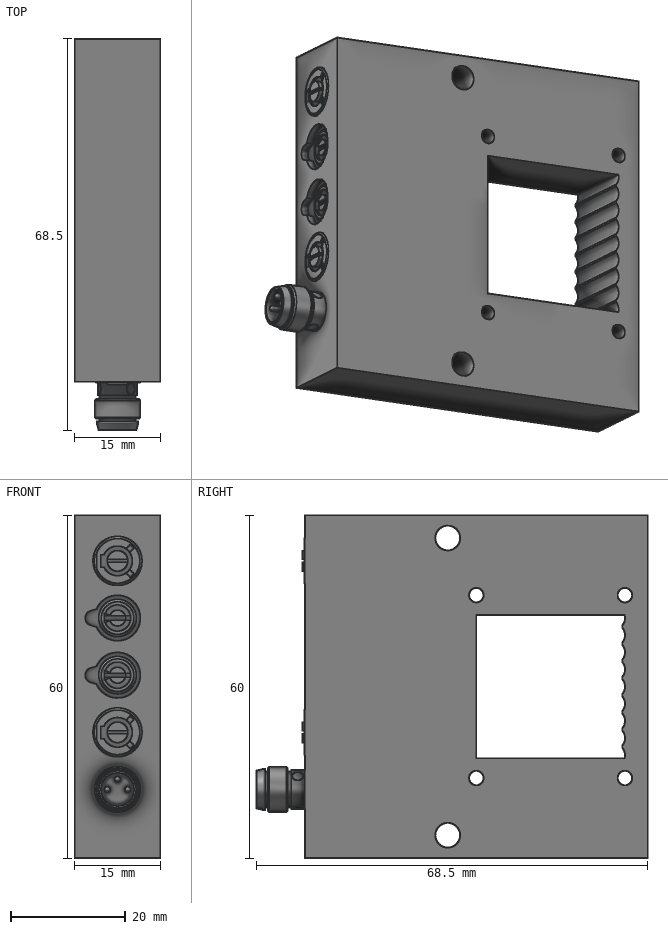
import cadquery as cq
import math

WIDTH = 15.0
LENGTH = 60.0
HEIGHT = 60.0

WINDOW_FRONT = 30.0
WINDOW_REAR = 56.0
WINDOW_HEIGHT = 25.0
SCALLOP_PITCH = 3.0
SCALLOP_DEPTH = 0.5
SCALLOP_DIAMETER = 4.0

MOUNT_HOLE_DIAMETER = 4.3
MOUNT_HOLE_Y = 25.0
MOUNT_HOLE_Z = 26.0
SMALL_HOLE_DIAMETER = 2.5
SMALL_HOLE_Z = 16.0

FITTING_PITCH = 10.0
TOP_PLUG_Z = 22.0
UPPER_TRIMMER_Z = TOP_PLUG_Z - FITTING_PITCH
LOWER_TRIMMER_Z = UPPER_TRIMMER_Z - FITTING_PITCH
LOW_PLUG_Z = LOWER_TRIMMER_Z - FITTING_PITCH
CONNECTOR_Z = LOW_PLUG_Z - FITTING_PITCH

PLUG_DIAMETER = 8.6
PLUG_FACE_DIAMETER = 7.8
PLUG_HEIGHT = 0.15
PLUG_SEAT_DEPTH = 0.3
PLUG_ROOT_DEPTH = 1.0
PLUG_GROOVE_DIAMETER = 5.2
PLUG_GROOVE_DEPTH = 0.4
PLUG_KNOB_DIAMETER = 3.6
PLUG_KNOB_HEIGHT = 0.5
PLUG_SLOT_WIDTH = 0.5
PLUG_SLOT_DEPTH = 0.5
PLUG_NOTCH_DEPTH = 0.2
RIM_NOTCH_WIDTH = 2.2
RIM_NOTCH_START = 3.6
WIDE_NOTCH_WIDTH = 2.2
WIDE_NOTCH_END = 2.9
NARROW_NOTCH_WIDTH = 0.9
NARROW_NOTCH_END = 3.6
NARROW_NOTCH_ANGLES = (45.0, -45.0)

POCKET_DIAMETER = 8.0
POCKET_DEPTH = 1.3
TAB_REACH = 5.65
TAB_TIP_X = 4.6
TAB_TIP_HALF_WIDTH = 1.3
TAB_ROOT_X = 3.6
TAB_ROOT_HALF_WIDTH = 1.6
TRIMMER_DIAMETER = 6.6
TRIMMER_FACE_DIAMETER = 5.7
TRIMMER_HEIGHT = 0.3
DIAL_DIAMETER = 4.6
DIAL_DEPTH = 0.4
DIAL_KNOB_DIAMETER = 2.8
DIAL_SLOT_WIDTH = 0.72
DIAL_SLOT_DEPTH = 0.8
DIAL_SLOT_END_DEPTH = 0.6
POINTER_DEPTH = 0.6
POINTER_OUTER_HALF_WIDTH = 0.85
POINTER_INNER_HALF_WIDTH = 0.5

CONNECTOR_LENGTH = 8.5
COLLAR_DIAMETER = 6.9
COLLAR_END = 2.4
GROOVE_DIAMETER = 6.4
RING_DIAMETER = 8.0
RING_START = 3.0
RING_END = 6.5
RING_CHAMFER = 0.3
LIP_START = 6.95
LIP_DIAMETER = 7.3
LIP_LAND = 0.25
TIP_DIAMETER = 6.7
TIP_CHAMFER = 0.1
BORE_DIAMETER = 5.8
BORE_DEPTH = 4.0
PIN_DIAMETER = 1.0
PIN_CIRCLE_RADIUS = 1.8
PIN_LENGTH = 3.85
PIN_ANGLES = (0.0, 90.0, 180.0)
DIMPLE_DIAMETER = 2.0
DIMPLE_Y = 1.25
DIMPLE_FLOOR_RADIUS = 3.25
DIMPLE_COUNT = 3
DIMPLE_START_ANGLE = 45.0


def front_plane(z, out):
    """Sketch plane facing -Y at height z, `out` in front of the housing; local x, y are X, Z."""
    return cq.Workplane(cq.Plane(origin=(0, -out, z), xDir=(1, 0, 0), normal=(0, -1, 0)))


def disc(z, diameter, start, end):
    """Cylinder along Y reaching from `start` to `end` in front of the housing."""
    return front_plane(z, start).circle(diameter / 2).extrude(end - start)


def cone(z, base_diameter, top_diameter, start, end):
    """Cone frustum along Y narrowing from `start` to `end` in front of the housing."""
    frustum = cq.Solid.makeCone(
        base_diameter / 2, top_diameter / 2, end - start, cq.Vector(0, -start, z), cq.Vector(0, -1, 0)
    )
    return cq.Workplane(frustum)


def side_hole(diameter, y, z):
    """Drill through the full width along X."""
    return cq.Workplane("YZ", origin=(-WIDTH / 2, 0, 0)).center(y, z).circle(diameter / 2).extrude(WIDTH)


def window():
    """Rectangular opening whose rear wall is a row of round scallops parted by narrow flat lands."""
    radius = SCALLOP_DIAMETER / 2
    half_chord = math.sqrt(radius**2 - (radius - SCALLOP_DEPTH) ** 2)
    land_y = WINDOW_REAR - SCALLOP_DEPTH
    reach = math.ceil(WINDOW_HEIGHT / 2 / SCALLOP_PITCH)
    end_z = (reach + 0.5) * SCALLOP_PITCH
    outline = cq.Workplane("YZ", origin=(-WIDTH / 2, 0, 0)).moveTo(WINDOW_FRONT, -end_z).lineTo(land_y, -end_z)
    for index in range(-reach, reach + 1):
        middle_z = index * SCALLOP_PITCH
        outline = outline.lineTo(land_y, middle_z - half_chord)
        outline = outline.threePointArc((WINDOW_REAR, middle_z), (land_y, middle_z + half_chord))
    opening = outline.lineTo(land_y, end_z).lineTo(WINDOW_FRONT, end_z).close().extrude(WIDTH)
    height_limit = cq.Workplane("XY").box(WIDTH, 2 * LENGTH, WINDOW_HEIGHT)
    return opening.intersect(height_limit)


def housing():
    """Block with the window, the mounting holes and the small holes beside the window corners."""
    body = cq.Workplane("XY").box(WIDTH, LENGTH, HEIGHT).translate((0, LENGTH / 2, 0))
    body = body.cut(window())
    for side in (-1, 1):
        body = body.cut(side_hole(MOUNT_HOLE_DIAMETER, MOUNT_HOLE_Y, side * MOUNT_HOLE_Z))
        for y in (WINDOW_FRONT, WINDOW_REAR):
            body = body.cut(side_hole(SMALL_HOLE_DIAMETER, y, side * SMALL_HOLE_Z))
    return body


def plug_notch(z, angle, width, inner, outer, floor):
    """Radial notch in the plug face between two radii, open to the front."""
    return (
        front_plane(z, floor)
        .transformed(rotate=(0, 0, angle))
        .center((inner + outer) / 2, 0)
        .rect(outer - inner, width)
        .extrude(PLUG_HEIGHT - floor)
    )


def add_plug(body, z):
    """Seat a notched plug with its slotted knob in the front face."""
    rim = PLUG_DIAMETER / 2
    notch_floor = PLUG_HEIGHT - PLUG_NOTCH_DEPTH
    groove_floor = PLUG_HEIGHT - PLUG_GROOVE_DEPTH
    plug = disc(z, PLUG_DIAMETER, -PLUG_ROOT_DEPTH, -PLUG_SEAT_DEPTH)
    plug = plug.union(cone(z, PLUG_DIAMETER, PLUG_FACE_DIAMETER, -PLUG_SEAT_DEPTH, PLUG_HEIGHT))
    plug = plug.cut(plug_notch(z, 180, RIM_NOTCH_WIDTH, RIM_NOTCH_START, rim, notch_floor))
    plug = plug.cut(plug_notch(z, 180, WIDE_NOTCH_WIDTH, 0, WIDE_NOTCH_END, groove_floor))
    for angle in NARROW_NOTCH_ANGLES:
        plug = plug.cut(plug_notch(z, angle, NARROW_NOTCH_WIDTH, 0, NARROW_NOTCH_END, notch_floor))
    plug = plug.cut(disc(z, PLUG_GROOVE_DIAMETER, groove_floor, PLUG_HEIGHT))
    plug = plug.union(disc(z, PLUG_KNOB_DIAMETER, -PLUG_ROOT_DEPTH, PLUG_KNOB_HEIGHT))
    slot = (
        front_plane(z, PLUG_KNOB_HEIGHT - PLUG_SLOT_DEPTH)
        .rect(PLUG_KNOB_DIAMETER, PLUG_SLOT_WIDTH)
        .extrude(PLUG_SLOT_DEPTH)
    )
    seat = disc(z, PLUG_DIAMETER, -PLUG_ROOT_DEPTH, 0)
    return body.cut(seat).union(plug.cut(slot))


def trimmer_pocket(z):
    """Round pocket with a tapering round-ended tab towards -X."""
    tab = (
        front_plane(z, -POCKET_DEPTH)
        .moveTo(0, TAB_ROOT_HALF_WIDTH)
        .lineTo(-TAB_ROOT_X, TAB_ROOT_HALF_WIDTH)
        .lineTo(-TAB_TIP_X, TAB_TIP_HALF_WIDTH)
        .threePointArc((-TAB_REACH, 0), (-TAB_TIP_X, -TAB_TIP_HALF_WIDTH))
        .lineTo(-TAB_ROOT_X, -TAB_ROOT_HALF_WIDTH)
        .lineTo(0, -TAB_ROOT_HALF_WIDTH)
        .close()
        .extrude(POCKET_DEPTH)
    )
    return disc(z, POCKET_DIAMETER, -POCKET_DEPTH, 0).union(tab)


def trimmer_slot(z, top):
    """Screwdriver slot across the dial, shallower beyond the +X edge of the knob."""
    deep_start = -DIAL_DIAMETER / 2
    deep_end = DIAL_KNOB_DIAMETER / 2
    deep = (
        front_plane(z, top - DIAL_SLOT_DEPTH)
        .center((deep_start + deep_end) / 2, 0)
        .rect(deep_end - deep_start, DIAL_SLOT_WIDTH)
        .extrude(DIAL_SLOT_DEPTH)
    )
    shallow = (
        front_plane(z, top - DIAL_SLOT_END_DEPTH)
        .rect(DIAL_DIAMETER, DIAL_SLOT_WIDTH)
        .extrude(DIAL_SLOT_END_DEPTH)
    )
    return deep.union(shallow)


def trimmer_pointer(z, top):
    """Tapering recess from the knob to the rim of the dial, marking the -X end of the slot."""
    inner_x = -DIAL_KNOB_DIAMETER / 2
    outer_x = -DIAL_DIAMETER / 2
    outline = [
        (inner_x, POINTER_INNER_HALF_WIDTH),
        (outer_x, POINTER_OUTER_HALF_WIDTH),
        (outer_x, -POINTER_OUTER_HALF_WIDTH),
        (inner_x, -POINTER_INNER_HALF_WIDTH),
    ]
    return front_plane(z, top - POINTER_DEPTH).polyline(outline).close().extrude(POINTER_DEPTH)


def add_trimmer(body, z):
    """Sink a keyhole pocket in the front face and leave the slotted trimmer standing in it."""
    top = TRIMMER_HEIGHT - POCKET_DEPTH
    dial_floor = top - DIAL_DEPTH
    body = body.cut(trimmer_pocket(z))
    body = body.union(cone(z, TRIMMER_DIAMETER, TRIMMER_FACE_DIAMETER, -POCKET_DEPTH, top))
    body = body.cut(disc(z, DIAL_DIAMETER, dial_floor, top))
    body = body.union(disc(z, DIAL_KNOB_DIAMETER, dial_floor, top))
    body = body.cut(trimmer_slot(z, top))
    return body.cut(trimmer_pointer(z, top))


def connector_shell():
    """Turned shell: radius against distance from the housing, revolved about the connector axis."""
    ring_radius = RING_DIAMETER / 2
    groove_radius = GROOVE_DIAMETER / 2
    outline = [
        (0, 0),
        (COLLAR_DIAMETER / 2, 0),
        (COLLAR_DIAMETER / 2, -COLLAR_END),
        (groove_radius, -COLLAR_END),
        (groove_radius, -RING_START),
        (ring_radius - RING_CHAMFER, -RING_START),
        (ring_radius, -RING_START - RING_CHAMFER),
        (ring_radius, -RING_END + RING_CHAMFER),
        (ring_radius - RING_CHAMFER, -RING_END),
        (groove_radius, -RING_END),
        (groove_radius, -LIP_START),
        (LIP_DIAMETER / 2, -LIP_START),
        (LIP_DIAMETER / 2, -LIP_START - LIP_LAND),
        (TIP_DIAMETER / 2, -CONNECTOR_LENGTH + TIP_CHAMFER),
        (TIP_DIAMETER / 2 - TIP_CHAMFER, -CONNECTOR_LENGTH),
        (0, -CONNECTOR_LENGTH),
    ]
    shell = cq.Workplane("XY").polyline(outline).close().revolve(360, (0, 0), (0, 1))
    return shell.translate((0, 0, CONNECTOR_Z))


def connector_pin(angle):
    """Contact pin with a hemispherical tip, standing on the floor of the bore."""
    x = PIN_CIRCLE_RADIUS * math.cos(math.radians(angle))
    z = CONNECTOR_Z + PIN_CIRCLE_RADIUS * math.sin(math.radians(angle))
    base = CONNECTOR_LENGTH - BORE_DEPTH
    radius = PIN_DIAMETER / 2
    shoulder = base + PIN_LENGTH - radius
    shaft = disc(z, PIN_DIAMETER, base, shoulder)
    tip = cq.Workplane("XY").sphere(radius).translate((0, -shoulder, z))
    return shaft.union(tip).translate((x, 0, 0))


def connector_dimple(angle):
    """Flat-bottomed round dimple pointing at the connector axis."""
    direction = cq.Vector(math.cos(math.radians(angle)), 0, math.sin(math.radians(angle)))
    start = cq.Vector(0, -DIMPLE_Y, CONNECTOR_Z) + direction * DIMPLE_FLOOR_RADIUS
    return cq.Workplane(cq.Solid.makeCylinder(DIMPLE_DIAMETER / 2, COLLAR_DIAMETER, start, direction))


def connector():
    """Shell with an open bore, contact pins and collar dimples."""
    shell = connector_shell()
    shell = shell.cut(disc(CONNECTOR_Z, BORE_DIAMETER, CONNECTOR_LENGTH - BORE_DEPTH, CONNECTOR_LENGTH))
    for angle in PIN_ANGLES:
        shell = shell.union(connector_pin(angle))
    for index in range(DIMPLE_COUNT):
        shell = shell.cut(connector_dimple(DIMPLE_START_ANGLE + index * 360 / DIMPLE_COUNT))
    return shell


result = housing()
for plug_z in (TOP_PLUG_Z, LOW_PLUG_Z):
    result = add_plug(result, plug_z)
for trimmer_z in (UPPER_TRIMMER_Z, LOWER_TRIMMER_Z):
    result = add_trimmer(result, trimmer_z)
result = result.union(connector())